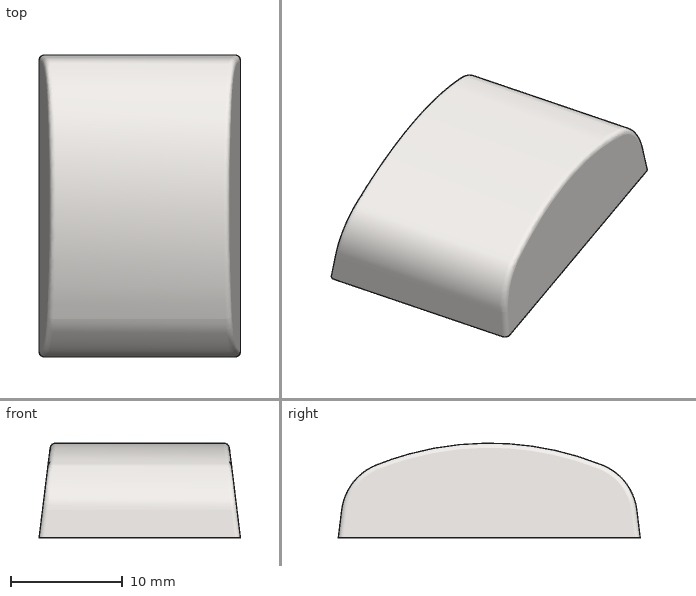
import cadquery as cq

width = 18.0
length = 27.0
height = 8.48
draft_angle = 7.0
crown_radius = 27.0
shoulder_radius = 5.0
edge_radius = 0.5


def drafted_block():
    """Rectangular block whose walls lean inward toward the top."""
    return cq.Workplane("XY").rect(width, length).extrude(height, taper=draft_angle)


def crown_cylinder():
    """Cylinder along X whose highest line touches the full height."""
    return (
        cq.Workplane("YZ")
        .center(0, height - crown_radius)
        .circle(crown_radius)
        .extrude(width / 2, both=True)
    )


body = drafted_block().intersect(crown_cylinder())

body = body.edges("|X").edges(">Z").fillet(shoulder_radius)

side_outlines = body.faces("<X or >X").edges().edges("not <Z")
result = side_outlines.fillet(edge_radius)